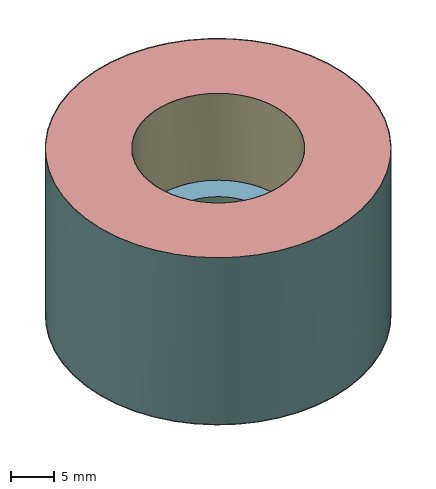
import cadquery as cq

outer_diameter = 40.0
height = 25.0
counterbore_diameter = outer_diameter / 2
counterbore_depth = 13.0
bore_diameter = 14.0

body = cq.Workplane("XY").circle(outer_diameter / 2).extrude(height)

result = (
    body.faces(">Z")
    .workplane()
    .cboreHole(bore_diameter, counterbore_diameter, counterbore_depth)
)